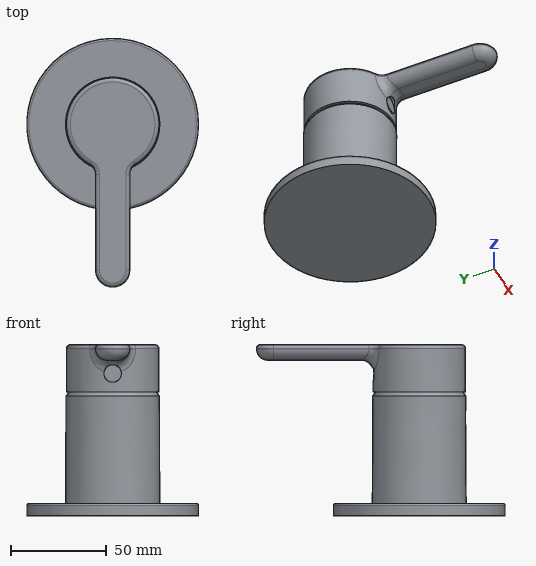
import cadquery as cq
import math

plate_diameter = 90.0
plate_radius = plate_diameter / 2
plate_thickness = 6.5
plate_edge_radius = 1.2

body_bottom_radius = 24.7
body_top_radius = 24.5
body_edge_height = 62.7
body_top_chamfer = 1.5

cap_radius = 24.2
cap_bottom = 64.9
top_height = 89.6
top_edge_radius = 2.1

overall_length = 130.2
lever_width = 18.0
lever_depth = 8.2
lever_reach = overall_length - plate_radius
lever_underside_radius = 6.0
lever_root_radius = 6.0

marker_radius = 4.5
marker_height = 74.5
marker_cut_depth = 2.0

selection_margin = 0.1


def make_plate():
    plate = cq.Workplane("XY").circle(plate_radius).extrude(plate_thickness)
    return plate.faces(">Z").edges().fillet(plate_edge_radius)


def make_body():
    profile = [
        (0, 0),
        (body_bottom_radius, 0),
        (body_top_radius, body_edge_height),
        (body_top_radius - body_top_chamfer, cap_bottom),
        (0, cap_bottom),
    ]
    return cq.Workplane("XZ").polyline(profile).close().revolve(360, (0, 0), (0, 1))


def make_lever():
    half_width = lever_width / 2
    tip_center = -(lever_reach - half_width)
    lever = (
        cq.Workplane("XY", origin=(0, 0, top_height - lever_depth))
        .moveTo(-half_width, 0)
        .lineTo(-half_width, tip_center)
        .threePointArc((0, -lever_reach), (half_width, tip_center))
        .lineTo(half_width, 0)
        .close()
        .extrude(lever_depth)
    )
    return lever.faces("<Z").edges("not >Y").fillet(lever_underside_radius)


def make_handle():
    cap_height = top_height - cap_bottom
    cap = cq.Workplane("XY", origin=(0, 0, cap_bottom)).circle(cap_radius).extrude(cap_height)
    handle = cap.union(make_lever())

    root_zone = cq.selectors.BoxSelector(
        (-lever_width, -cap_radius - selection_margin, top_height - lever_depth - selection_margin),
        (lever_width, -cap_radius / 2, top_height - selection_margin),
    )
    handle = handle.edges(root_zone).fillet(lever_root_radius)
    return handle.faces(">Z").edges().fillet(top_edge_radius)


def make_marker_cutter():
    flat_distance = math.sqrt(cap_radius**2 - marker_radius**2)
    return (
        cq.Workplane("XZ", origin=(0, -flat_distance, marker_height))
        .circle(marker_radius)
        .extrude(marker_cut_depth)
    )


handle = make_handle().cut(make_marker_cutter())
result = make_plate().union(make_body()).union(handle)